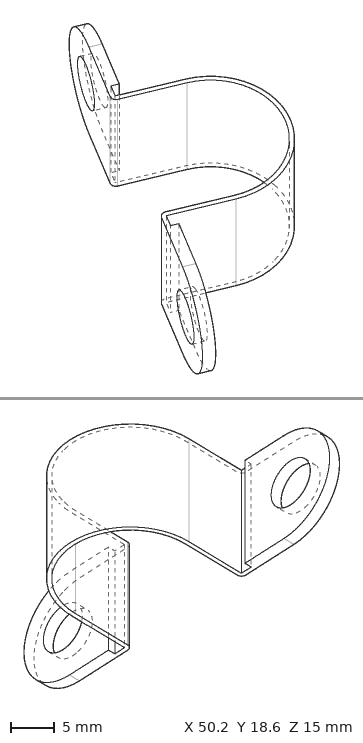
import cadquery as cq

overall_length = 50.2
overall_depth = 18.6
strip_height = 15.0
strip_thickness = 0.6
saddle_inner_radius = 9.0
bend_outer_radius = 0.7
foot_thickness = 1.6
foot_pad_start = 11.2
hole_diameter = 6.4
hole_spacing = 37.4

half_length = overall_length / 2
foot_end_radius = strip_height / 2
foot_arc_center = half_length - foot_end_radius
saddle_outer_radius = saddle_inner_radius + strip_thickness
saddle_center_y = overall_depth - saddle_outer_radius


def prism(outline):
    """Extrude an XY outline over the full strip height, centred on Z = 0."""
    return outline.extrude(strip_height / 2, both=True)


def arch_profile(radius):
    """Straight-sided arch: two legs rising from Y = 0 to a half-round top."""
    return (
        cq.Workplane("XY")
        .moveTo(-radius, 0)
        .lineTo(-radius, saddle_center_y)
        .threePointArc((0, saddle_center_y + radius), (radius, saddle_center_y))
        .lineTo(radius, 0)
        .close()
    )


def make_saddle():
    """Arched strip with a thin flange at its base and rounded outer bends."""
    flange = prism(
        cq.Workplane("XY").center(0, strip_thickness / 2).rect(2 * foot_arc_center, strip_thickness)
    )
    strip = flange.union(prism(arch_profile(saddle_outer_radius)))
    strip = strip.cut(prism(arch_profile(saddle_inner_radius)))
    bend_edges = cq.selectors.BoxSelector(
        (-saddle_outer_radius, -strip_thickness / 2, -strip_height),
        (saddle_outer_radius, strip_thickness / 2, strip_height),
    )
    return strip.edges("|Z").edges(bend_edges).fillet(bend_outer_radius)


def make_foot(side):
    """Thick pad with a round outer end; side is -1 for left and +1 for right."""
    return (
        cq.Workplane("XZ")
        .moveTo(side * foot_pad_start, -foot_end_radius)
        .lineTo(side * foot_arc_center, -foot_end_radius)
        .threePointArc((side * half_length, 0), (side * foot_arc_center, foot_end_radius))
        .lineTo(side * foot_pad_start, foot_end_radius)
        .close()
        .extrude(-foot_thickness)
    )


def make_holes():
    """Screw holes through both feet."""
    return (
        cq.Workplane("XZ")
        .pushPoints([(-hole_spacing / 2, 0), (hole_spacing / 2, 0)])
        .circle(hole_diameter / 2)
        .extrude(-foot_thickness)
    )


result = make_saddle()
for foot_side in (-1, 1):
    result = result.union(make_foot(foot_side))
result = result.cut(make_holes()).clean()